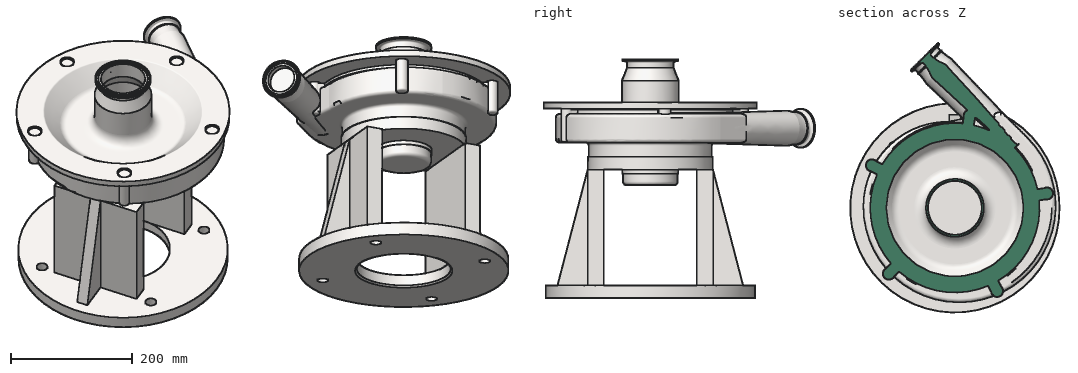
import math

import cadquery as cq

base_radius = 172.0
base_thickness = 21.0
base_bore_radius = 77.0
base_bore_chamfer = 3.0
base_hole_radius = 9.0
base_hole_pitch_radius = 140.5
base_hole_count = 4
base_hole_start_angle = 45.0

leg_width = 150.0
leg_thickness = 27.0
leg_height = 190.0
leg_outer_y = 103.0
rib_thickness = 18.5
rib_foot_y = 152.5

flange_radius = 102.7
flange_thickness = 21.0
flange_bottom_z = base_thickness + leg_height
flange_top_z = flange_bottom_z + flange_thickness
hub_radius = 45.0
hub_collar_radius = 46.3
hub_collar_height = 6.5
hub_length = 25.5
hub_edge_radius = 6.0

volute_bottom_z = 255.5
volute_top_z = 302.5
volute_edge_radius = 6.0
volute_mid_z = (volute_bottom_z + volute_top_z) / 2
backplate_radius = 101.3
backplate_flare = 5.0
volute_reach_top = 141.6
volute_reach_left = 150.3
volute_reach_bottom = 155.2
volute_reach_right = 165.4
volute_lower_centre_x = 7.0
discharge_block_length = 60.0
neck_radius = 139.0
neck_fillet = 2.0
neck_top_z = 309.4
cover_spigot_radius = 132.0

plate_radius = 175.0
plate_thickness = 10.5
plate_top_z = 321.5
plate_bottom_z = plate_top_z - plate_thickness
dish_mouth_radius = 132.0
dish_mouth_fillet = 4.0
dish_floor_z = 290.0
dish_corner_radius = 15.0
dish_root_radius = 20.0

boss_count = 5
boss_start_angle = 8.9
boss_pitch_radius = 153.0
boss_radius = 10.0
boss_web_width = 19.0
boss_bottom_z = volute_bottom_z + 1.0
boss_edge_radius = 3.0
bolt_recess_radius = 10.5
bolt_recess_depth = 3.0
bolt_recess_chamfer = 1.0

overall_height = 392.5
inlet_radius = 46.8
inlet_neck_radius = 38.5
inlet_lip_radius = 45.7
inlet_cone_bottom_z = 357.3
inlet_cone_top_z = 378.2
inlet_bore_radius = 36.2
inlet_wide_bore_radius = 44.0
inlet_bore_cone_top_z = 365.0
inlet_bore_cone_bottom_z = 346.0
inlet_groove_radius = 41.8

outlet_angle = 135.0
outlet_side_angle = outlet_angle - 90.0
outlet_axis_offset = 140.0
outlet_end = 211.0
outlet_lip_radius = 32.0
outlet_neck_radius = 26.0
outlet_bore_radius = 22.8
outlet_bore_depth = 12.0
outlet_groove_radius = 28.3
outlet_root_radius = 25.0
outlet_shoulder_radius = 29.0
outlet_shoulder_at = 177.4
outlet_cone_end_radius = 27.2
outlet_cone_end = 187.5
outlet_sleeve_radius = 26.5
outlet_sleeve_start = 193.0
weld_radius = 27.2
weld_start = 197.5
weld_end = 199.0

lip_thickness = 3.0
lip_taper_length = 1.2
lip_root_fillet = 2.0
groove_radius = 1.5


def cylinder(radius, bottom_z, top_z):
    return cq.Workplane("XY").workplane(offset=bottom_z).circle(radius).extrude(top_z - bottom_z)


def revolve_about_z(outline):
    return outline.close().revolve(360, (0, 0, 0), (0, 1, 0))


def polar(radius, angle, centre=(0, 0)):
    turn = math.radians(angle)
    return (centre[0] + radius * math.cos(turn), centre[1] + radius * math.sin(turn))


def make_base():
    base = cylinder(base_radius, 0, base_thickness)
    base = base.cut(cylinder(base_bore_radius, 0, base_thickness))
    base = base.faces("<Z").edges(cq.selectors.RadiusNthSelector(0)).chamfer(base_bore_chamfer)
    holes = (
        cq.Workplane("XY")
        .polarArray(base_hole_pitch_radius, base_hole_start_angle, 360, base_hole_count)
        .circle(base_hole_radius)
        .extrude(base_thickness)
    )
    return base.cut(holes)


def make_leg():
    """Upright on the +Y side with a tapered rib on its outer face."""
    upright = cq.Workplane("XY").box(leg_width, leg_thickness, leg_height, centered=(True, False, False))
    upright = upright.translate((0, leg_outer_y - leg_thickness, base_thickness))
    rib = (
        cq.Workplane("YZ")
        .moveTo(leg_outer_y, base_thickness)
        .lineTo(rib_foot_y, base_thickness)
        .lineTo(leg_outer_y, flange_bottom_z)
        .close()
        .extrude(rib_thickness / 2, both=True)
    )
    return upright.union(rib)


def make_backplate():
    """Bearing hub, mounting flange and the ring that flares into the casing."""
    hub_bottom_z = flange_bottom_z - hub_length
    hub = cylinder(hub_radius, hub_bottom_z, flange_bottom_z).faces("<Z").edges().fillet(hub_edge_radius)
    collar = cylinder(hub_collar_radius, flange_bottom_z - hub_collar_height, flange_bottom_z)
    flange = cylinder(flange_radius, flange_bottom_z, flange_top_z)
    ring = revolve_about_z(
        cq.Workplane("XZ")
        .moveTo(0, flange_top_z)
        .lineTo(backplate_radius, flange_top_z)
        .lineTo(backplate_radius, volute_bottom_z - backplate_flare)
        .radiusArc((backplate_radius + backplate_flare, volute_bottom_z), backplate_flare)
        .lineTo(0, volute_bottom_z)
    )
    return flange.union(collar).union(hub).union(ring)


def make_volute():
    """Spiral of three tangent arcs that leaves along the discharge direction."""
    upper_left_centre_y = volute_reach_left + volute_lower_centre_x - volute_reach_bottom
    upper_left_radius = volute_reach_top - upper_left_centre_y
    upper_left_centre = (upper_left_radius - volute_reach_left, upper_left_centre_y)
    lower_left_radius = volute_reach_left + volute_lower_centre_x
    lower_left_centre = (volute_lower_centre_x, upper_left_centre_y)
    right_radius = volute_reach_right - volute_lower_centre_x
    right_centre = (volute_lower_centre_x, right_radius - volute_reach_bottom)

    discharge_start = polar(right_radius, outlet_side_angle, right_centre)
    discharge_corner = polar(discharge_block_length, outlet_angle, discharge_start)
    body = (
        cq.Workplane("XY")
        .workplane(offset=volute_bottom_z)
        .moveTo(*polar(upper_left_radius, 90, upper_left_centre))
        .threePointArc(
            polar(upper_left_radius, 135, upper_left_centre), polar(upper_left_radius, 180, upper_left_centre)
        )
        .threePointArc(
            polar(lower_left_radius, 225, lower_left_centre), polar(lower_left_radius, 270, lower_left_centre)
        )
        .threePointArc(polar(right_radius, (outlet_side_angle - 90) / 2, right_centre), discharge_start)
        .lineTo(*discharge_corner)
        .close()
        .extrude(volute_top_z - volute_bottom_z)
    )
    return body.faces("<Z or >Z").edges().fillet(volute_edge_radius)


def make_cover():
    """Neck and spigot above the casing, and the flat cover plate."""
    neck = cylinder(neck_radius, volute_top_z, neck_top_z)
    spigot = cylinder(cover_spigot_radius, neck_top_z, plate_bottom_z)
    plate = cylinder(plate_radius, plate_bottom_z, plate_top_z)
    fillet_ring = revolve_about_z(
        cq.Workplane("XZ")
        .moveTo(neck_radius, volute_top_z)
        .lineTo(neck_radius + neck_fillet, volute_top_z)
        .radiusArc((neck_radius, volute_top_z + neck_fillet), neck_fillet)
    )
    return neck.union(fillet_ring).union(spigot).union(plate)


def make_dish():
    """Ring-shaped hollow around the inlet pipe, with a wall sloping at 45 degrees."""
    slope = math.sqrt(0.5)
    mouth_end = (
        dish_mouth_radius - dish_mouth_fillet * slope,
        plate_top_z - dish_mouth_fillet * (1 - slope),
    )
    corner_top_z = dish_floor_z + dish_corner_radius * (1 - slope)
    corner_top = (mouth_end[0] - (mouth_end[1] - corner_top_z), corner_top_z)
    corner_bottom = (corner_top[0] - dish_corner_radius * slope, dish_floor_z)
    return revolve_about_z(
        cq.Workplane("XZ")
        .moveTo(inlet_radius, plate_top_z)
        .lineTo(inlet_radius, dish_floor_z + dish_root_radius)
        .radiusArc((inlet_radius + dish_root_radius, dish_floor_z), -dish_root_radius)
        .lineTo(*corner_bottom)
        .radiusArc(corner_top, -dish_corner_radius)
        .lineTo(*mouth_end)
        .radiusArc((dish_mouth_radius, plate_top_z), dish_mouth_fillet)
    )


def make_boss(angle):
    """Bolt boss below the cover plate, tied to the casing by a slightly narrower web."""
    boss = cylinder(boss_radius, boss_bottom_z, plate_bottom_z)
    boss = boss.faces("<Z").edges().fillet(boss_edge_radius)
    web_bottom_z = boss_bottom_z + boss_edge_radius
    web_length = boss_pitch_radius - neck_radius + boss_radius
    web = cq.Workplane("XY").box(
        web_length, boss_web_width, neck_top_z - web_bottom_z, centered=(False, True, False)
    )
    web = web.translate((-web_length, 0, web_bottom_z))
    boss = boss.union(web).translate((boss_pitch_radius, 0, 0))
    return boss.rotate((0, 0, 0), (0, 0, 1), angle)


def make_bolt_recess(angle):
    x, y = polar(boss_pitch_radius, angle)
    floor_z = plate_top_z - bolt_recess_depth
    rim_radius = bolt_recess_radius + bolt_recess_chamfer
    recess = revolve_about_z(
        cq.Workplane("XZ")
        .moveTo(0, floor_z)
        .lineTo(bolt_recess_radius, floor_z)
        .lineTo(bolt_recess_radius, plate_top_z - bolt_recess_chamfer)
        .lineTo(rim_radius, plate_top_z)
        .lineTo(0, plate_top_z)
    )
    return recess.translate((x, y, 0))


def make_lip(outer, neck, face_z):
    """Clamp lip with a tapered back and a rounded root above a pipe neck."""
    taper_end_z = face_z - lip_thickness - lip_taper_length
    return revolve_about_z(
        cq.Workplane("XZ")
        .moveTo(0, face_z)
        .lineTo(outer, face_z)
        .lineTo(outer, face_z - lip_thickness)
        .lineTo(neck + lip_root_fillet, taper_end_z)
        .radiusArc((neck, taper_end_z - lip_root_fillet), -lip_root_fillet)
        .lineTo(0, taper_end_z - lip_root_fillet)
    )


def make_groove(radius, face_z):
    """Half-round gasket groove in a clamp lip face."""
    return cq.Workplane("XY").add(cq.Solid.makeTorus(radius, groove_radius)).translate((0, 0, face_z))


def make_inlet():
    pipe = revolve_about_z(
        cq.Workplane("XZ")
        .moveTo(0, plate_bottom_z)
        .lineTo(inlet_radius, plate_bottom_z)
        .lineTo(inlet_radius, inlet_cone_bottom_z)
        .lineTo(inlet_neck_radius, inlet_cone_top_z)
        .lineTo(inlet_neck_radius, overall_height)
        .lineTo(0, overall_height)
    )
    return pipe.union(make_lip(inlet_lip_radius, inlet_neck_radius, overall_height))


def make_inlet_bore():
    bore = revolve_about_z(
        cq.Workplane("XZ")
        .moveTo(0, overall_height)
        .lineTo(inlet_bore_radius, overall_height)
        .lineTo(inlet_bore_radius, inlet_bore_cone_top_z)
        .lineTo(inlet_wide_bore_radius, inlet_bore_cone_bottom_z)
        .lineTo(inlet_wide_bore_radius, dish_floor_z)
        .lineTo(0, dish_floor_z)
    )
    return bore.union(make_groove(inlet_groove_radius, overall_height))


def lay_along_discharge(body):
    """Turn a body built along Z onto the horizontal outlet axis."""
    offset = polar(outlet_axis_offset, outlet_side_angle)
    body = body.rotate((0, 0, 0), (0, 1, 0), 90).rotate((0, 0, 0), (0, 0, 1), outlet_angle)
    return body.translate((*offset, volute_mid_z))


def make_outlet():
    """Outlet pipe that widens to a shoulder, then steps down to its clamp lip."""
    pipe = revolve_about_z(
        cq.Workplane("XZ")
        .lineTo(outlet_root_radius, 0)
        .lineTo(outlet_shoulder_radius, outlet_shoulder_at)
        .lineTo(outlet_cone_end_radius, outlet_cone_end)
        .lineTo(outlet_sleeve_radius, outlet_sleeve_start)
        .lineTo(outlet_sleeve_radius, weld_start)
        .lineTo(weld_radius, weld_start)
        .lineTo(weld_radius, weld_end)
        .lineTo(outlet_neck_radius, weld_end)
        .lineTo(outlet_neck_radius, outlet_end)
        .lineTo(0, outlet_end)
    )
    pipe = pipe.union(make_lip(outlet_lip_radius, outlet_neck_radius, outlet_end))
    pipe = pipe.cut(cylinder(outlet_bore_radius, outlet_end - outlet_bore_depth, outlet_end))
    pipe = pipe.cut(make_groove(outlet_groove_radius, outlet_end))
    return lay_along_discharge(pipe)


leg = make_leg()
cover = make_cover()
boss_angles = [boss_start_angle + index * 360 / boss_count for index in range(boss_count)]
for boss_angle in boss_angles:
    cover = cover.union(make_boss(boss_angle))

result = make_base().union(leg).union(leg.mirror("XZ"))
result = result.union(make_backplate()).union(make_volute()).union(make_outlet()).union(cover)
result = result.cut(make_dish())
for boss_angle in boss_angles:
    result = result.cut(make_bolt_recess(boss_angle))
result = result.union(make_inlet()).cut(make_inlet_bore())